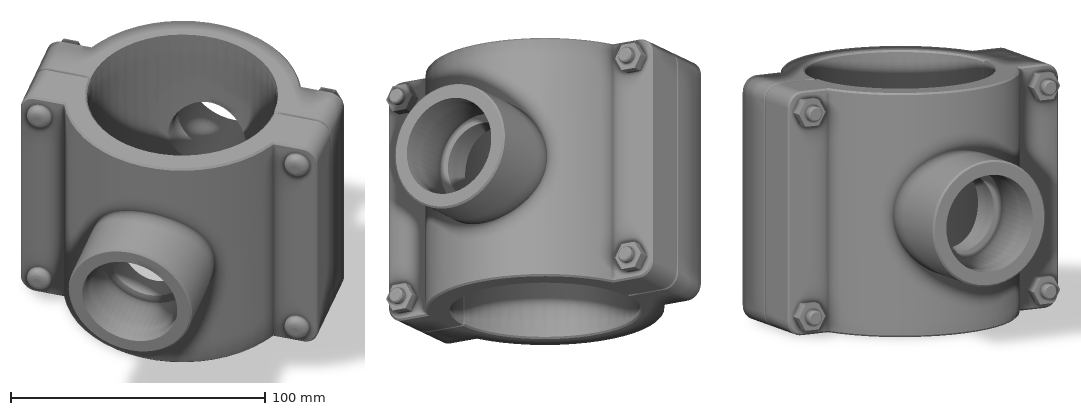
import cadquery as cq
import math

height = 98.0
barrel_radius = 47.0
bore_radius = 37.6
flange_width = 122.0
flange_reach = 18.7
flange_corner_radius = 6.2
edge_chamfer = 0.7

branch_diameter = 50.7
branch_end = 72.0
seat_radius = 40.3
socket_diameter = 39.0
socket_depth = 25.0
passage_diameter = 32.0
branch_angles = (0, 180)

bolt_inset = 8.0
head_diameter = 10.0
head_height = 4.0
head_round = 3.0
nut_width = 10.4
nut_height = 4.9
shank_diameter = 6.0
shank_reach = 7.9
shank_chamfer = 0.6

bolt_x = flange_width / 2 - bolt_inset
bolt_z = height / 2 - bolt_inset
bolt_positions = [(x, z) for x in (-bolt_x, bolt_x) for z in (-bolt_z, bolt_z)]


def upright_cylinder(radius):
    """Cylinder on the Z axis over the full height of the clamp."""
    return cq.Workplane("XY").workplane(offset=-height / 2).circle(radius).extrude(height)


def cylinder_along_y(diameter, start, end):
    """Cylinder on the Y axis between two Y values."""
    return cq.Workplane("XZ", origin=(0, start, 0)).circle(diameter / 2).extrude(start - end)


def hexagon_diameter(width):
    """Diameter across the corners of a hexagon of the given width across its flats."""
    return width / math.cos(math.pi / 6)


def clamp_half():
    """Half barrel and its two flanges on the +Y side, up to the parting plane, without the bore."""
    half_barrel = upright_cylinder(barrel_radius).intersect(
        cq.Workplane("XY").box(flange_width, barrel_radius, height).translate((0, barrel_radius / 2, 0))
    )
    flanges = (
        cq.Workplane("XY")
        .box(flange_width, flange_reach, height)
        .translate((0, flange_reach / 2, 0))
        .edges("|Y")
        .fillet(flange_corner_radius)
    )
    return half_barrel.union(flanges)


def back_half():
    """Back half, chamfered outside; the ends of its bore stay sharp."""
    return clamp_half().faces("<Y or >Z or <Z").chamfer(edge_chamfer).cut(upright_cylinder(bore_radius))


def front_half():
    """Front half, chamfered outside and around its bore."""
    half = clamp_half().cut(upright_cylinder(bore_radius))
    half = half.faces("<Y or >Z or <Z").chamfer(edge_chamfer)
    return half.rotate((0, 0, 0), (0, 0, 1), 180)


def bolt_heads():
    """Domed bolt heads, flat on top, standing on the front flanges."""
    head = (
        cq.Workplane("XZ")
        .circle(head_diameter / 2)
        .extrude(head_height)
        .faces("<Y")
        .edges()
        .fillet(head_round)
    )
    return [head.translate((x, -flange_reach, z)) for x, z in bolt_positions]


def nuts_and_shanks():
    """Nuts standing on the back flanges, with the shank ends passing through them."""
    nut = cq.Workplane("XZ").polygon(6, hexagon_diameter(nut_width)).extrude(-nut_height)
    shank = (
        cq.Workplane("XZ").circle(shank_diameter / 2).extrude(-shank_reach).faces(">Y").chamfer(shank_chamfer)
    )
    nut = nut.union(shank)
    return [nut.translate((x, flange_reach, z)) for x, z in bolt_positions]


def branch_outside():
    """Full branch cylinder on the +Y side, from the seat in the barrel wall to its chamfered mouth."""
    return (
        cylinder_along_y(branch_diameter, 0, branch_end)
        .faces(">Y")
        .chamfer(edge_chamfer)
        .cut(upright_cylinder(seat_radius))
    )


def branch(angle):
    """Branch tube turned about the Z axis."""
    tube = branch_outside().cut(cylinder_along_y(passage_diameter, 0, branch_end))
    tube = tube.cut(cylinder_along_y(socket_diameter, branch_end - socket_depth, branch_end))
    return tube.rotate((0, 0, 0), (0, 0, 1), angle)


def clamp():
    """Both halves and their fasteners in one piece, with a passage and a branch seat on each side."""
    body = back_half().union(front_half())
    for fastener in bolt_heads() + nuts_and_shanks():
        body = body.union(fastener)
    body = body.cut(cylinder_along_y(passage_diameter, -branch_end, branch_end))
    for angle in branch_angles:
        body = body.cut(branch_outside().rotate((0, 0, 0), (0, 0, 1), angle))
    return body


clamp_body = clamp()
branches = [branch(angle) for angle in branch_angles]

result = cq.Compound.makeCompound([clamp_body.val(), *[tube.val() for tube in branches]])